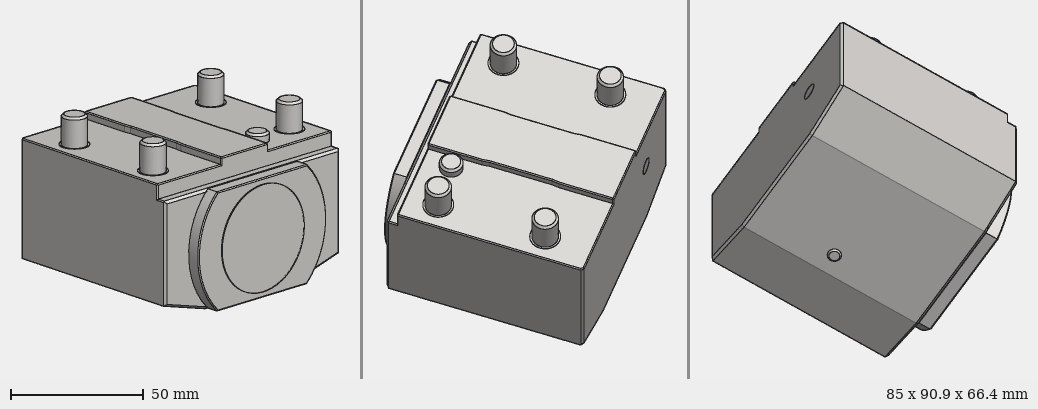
import cadquery as cq
import math

block_length = 79.1
block_width = 90.9
block_height = 53.8
keel_width = 47.5
slope_height = 6.1
end_chamfer = 1.0
edge_chamfer = 0.5

rib_width = 24.55
rib_height = 2.9
rib_relief = 0.4
relief_length = 30.9
relief_run = 2.9
rib_top = block_height + rib_height

step_length = 4.3
step_floor = 47.8
shelf_start = block_length - step_length

screw_diameter = 10.0
screw_chamfer = 0.9
screw_projection = 12.0
screw_spacing_x = 42.9
screw_spacing_y = 70.9
first_screw_x = 19.0
recess_diameter = 11.6
recess_depth = 0.2

pin_diameter = 9.0
pin_chamfer = 0.9
pin_projection = 3.8
pin_x = 63.4
pin_y = 17.5

button_diameter = 5.7
button_chamfer = 0.8
button_projection = 0.6
button_x = 36.2
button_y = 15.55

port_diameter = 6.55
port_depth = 0.1
port_y = -23.0
port_z = 33.2

flange_diameter = 66.55
flange_height = 47.5
flange_thickness = 5.4
flange_chamfer = 0.5
flange_z = 24.2
plate_diameter = 42.7
plate_thickness = 0.5


def end_profile(inset):
    """Outline of the block seen along X, moved inward by inset on its sides and underside."""
    half_width = block_width / 2
    half_keel = keel_width / 2
    slope_angle = math.atan2(slope_height, half_width - half_keel)
    slope_run_ratio = math.tan(slope_angle)
    side = half_width - inset
    slope_lift = inset / math.cos(slope_angle)
    corner_z = slope_run_ratio * (side - half_keel) + slope_lift
    keel_y = half_keel - (slope_lift - inset) / slope_run_ratio
    return [
        (-side, block_height),
        (-side, corner_z),
        (-keel_y, inset),
        (keel_y, inset),
        (side, corner_z),
        (side, block_height),
    ]


def block_section(x_start, x_end, inset_start, inset_end):
    """Solid between two end profiles; the inset changes evenly from one to the other."""
    section = cq.Workplane("YZ", origin=(x_start, 0, 0)).polyline(end_profile(inset_start)).close()
    if inset_start == inset_end:
        return section.extrude(x_end - x_start)
    section = section.workplane(offset=x_end - x_start).polyline(end_profile(inset_end)).close()
    return section.loft(ruled=True)


def make_block():
    """Block chamfered round both ends, with the step cut and its edges broken."""
    right_start = block_length - end_chamfer
    left_end = block_section(0, end_chamfer, end_chamfer, 0)
    middle = block_section(end_chamfer, right_start, 0, 0)
    right_end = block_section(right_start, block_length, 0, end_chamfer)
    block = left_end.union(middle).union(right_end)
    step = cq.Workplane("XY", origin=(shelf_start + step_length / 2, 0, step_floor))
    step = step.rect(step_length, block_width).extrude(block_height - step_floor)
    block = block.cut(step)
    block = block.faces(">Z").edges().chamfer(edge_chamfer)
    shelf_selector = cq.selectors.NearestToPointSelector((shelf_start + step_length / 2, 0, step_floor))
    block = block.faces(shelf_selector).edges(">X").chamfer(end_chamfer)
    block = block.faces(shelf_selector).edges("<Y or >Y").chamfer(edge_chamfer)
    wall_selector = cq.selectors.NearestToPointSelector((shelf_start, 0, (step_floor + block_height) / 2))
    return block.faces(wall_selector).edges("|Z").chamfer(edge_chamfer)


def make_rib():
    """Rib along the top, slightly narrower along its middle stretch."""
    rib_middle = shelf_start / 2
    outer_x = relief_length / 2
    inner_x = outer_x - relief_run
    flank = [
        (0, rib_width / 2),
        (rib_middle - outer_x, rib_width / 2),
        (rib_middle - inner_x, rib_width / 2 - rib_relief),
        (rib_middle + inner_x, rib_width / 2 - rib_relief),
        (rib_middle + outer_x, rib_width / 2),
        (shelf_start, rib_width / 2),
    ]
    opposite_flank = [(x, -y) for x, y in reversed(flank)]
    root = block_height - 2 * edge_chamfer
    rib = cq.Workplane("XY", origin=(0, 0, root)).polyline(flank + opposite_flank).close()
    rib = rib.extrude(rib_top - root)
    rib = rib.edges("|Z").edges("<X or >X").chamfer(edge_chamfer)
    return rib.faces(">Z").edges().chamfer(edge_chamfer)


def make_stud(x, y, base_z, diameter, height, chamfer):
    """Upright round stud with a chamfered tip."""
    stud = cq.Workplane("XY", origin=(x, y, base_z)).circle(diameter / 2).extrude(height)
    return stud.faces(">Z").chamfer(chamfer)


def add_screws(body):
    """Cut the four recesses and stand a screw in each."""
    floor = block_height - recess_depth
    screw_height = recess_depth + screw_projection
    for x in (first_screw_x, first_screw_x + screw_spacing_x):
        for y in (-screw_spacing_y / 2, screw_spacing_y / 2):
            recess = cq.Workplane("XY", origin=(x, y, floor)).circle(recess_diameter / 2)
            recess = recess.extrude(recess_depth)
            screw = make_stud(x, y, floor, screw_diameter, screw_height, screw_chamfer)
            body = body.cut(recess).union(screw)
    return body


def make_button():
    """Chamfered button whose tip points down; its root is sunk in the block."""
    button = cq.Workplane("XY", origin=(button_x, button_y, -button_projection))
    button = button.circle(button_diameter / 2).extrude(button_projection + button_chamfer)
    return button.faces("<Z").chamfer(button_chamfer)


def make_port():
    """Shallow round cutter for the left face."""
    port = cq.Workplane("YZ", origin=(0, port_y, port_z)).circle(port_diameter / 2)
    return port.extrude(port_depth)


def make_flange():
    """Round flange with flat top and bottom, carrying the face plate."""
    right_face = cq.Workplane("YZ", origin=(block_length, 0, flange_z))
    disc = right_face.circle(flange_diameter / 2).extrude(flange_thickness)
    band = right_face.rect(flange_diameter, flange_height).extrude(flange_thickness)
    flange = disc.intersect(band).faces(">X").edges().chamfer(flange_chamfer)
    plate = right_face.circle(plate_diameter / 2).extrude(flange_thickness + plate_thickness)
    return flange.union(plate)


body = make_block().union(make_rib())
body = add_screws(body)
body = body.union(make_stud(pin_x, pin_y, block_height, pin_diameter, pin_projection, pin_chamfer))
body = body.union(make_button())
body = body.cut(make_port())
result = body.union(make_flange())